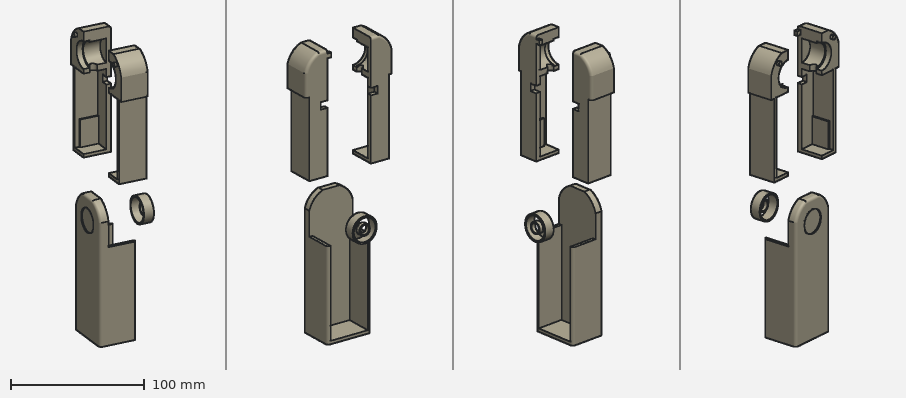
import cadquery as cq

sleeve_width = 40.0
cut_plane = sleeve_width / 2
crown_radius = 20.7
crown_height = 19.3
wall = 3.0
edge_radius = 2.5
overall_width = 80.3
overall_height = 241.2
overall_depth = 50.6

plate_thickness = 7.5
sleeve_depth = 30.9
sleeve_top = 115.8
shoulder_height = 80.8
recess_diameter = 19.8
recess_depth = 1.0
rib_height = 0.5
rib_width = 0.7
rib_length = 6.0
rib_x = -5.0
rib_y = 16.0
sleeve_axis_z = sleeve_top - crown_height

head_width = (overall_width - sleeve_width) / 2
head_height = 34.2
body_width = 16.6
body_height = 68.5
back_wall = 4.0
housing_axis_z = overall_height - crown_height
head_bottom = overall_height - head_height
housing_bottom = head_bottom - body_height
bore_diameter = 19.8
counterbore_diameter = 22.5
counterbore_depth = 5.0
wire_hole_diameter = 6.0
wire_hole_y = 16.0
notch_size = 6.0
notch_top = head_bottom - 6.8
pad_thickness = 1.5
pad_height = 22.7
pad_front_gap = 3.5
peg_diameter = 3.5
peg_length = 2.2
peg_x = 11.8
peg_z = 12.5
tab_length = 3.5
tab_height = 3.9
tab_depth = 3.0
tab_top = overall_height - 3.0

ring_length = 8.5
outer_ring_diameter = 22.5
outer_ring_bore = 19.8
inner_ring_diameter = 10.0
inner_ring_bore = 8.0
inner_ring_length = 3.9


def block(x_min, x_max, y_min, y_max, z_min, z_max):
    """Box given by its limits."""
    size = (x_max - x_min, y_max - y_min, z_max - z_min)
    return cq.Workplane("XY").box(*size, centered=False).translate((x_min, y_min, z_min))


def cylinder_y(x, z, diameter, y_min, y_max):
    """Cylinder along Y."""
    return (
        cq.Workplane("XZ", origin=(x, y_min, z))
        .circle(diameter / 2)
        .extrude(y_min - y_max)
    )


def crowned_block(half_width, axis_z, z_min, y_min, y_max, rounded_face):
    """Upright slab about X = 0 with crowned top corners and one face rounded along its outline."""
    top = axis_z + crown_height
    slab = block(-half_width, half_width, y_min, y_max, z_min, top)
    slab = slab.faces(rounded_face).edges("not <Z").fillet(edge_radius)
    crown = cylinder_y(0, axis_z, 2 * crown_radius, y_min, y_max)
    crown = crown.faces(rounded_face).edges().fillet(edge_radius)
    below_axis = block(-crown_radius, crown_radius, y_min, y_max, z_min, axis_z)
    return slab.intersect(crown.union(below_axis))


def make_sleeve():
    """Front plate with a round recess, two side walls and a floor; open at the back."""
    plate = crowned_block(cut_plane, sleeve_axis_z, rib_height, 0, plate_thickness, "<Y")
    plate = plate.cut(cylinder_y(0, sleeve_axis_z, recess_diameter, 0, recess_depth))
    channel = block(-cut_plane, cut_plane, plate_thickness, sleeve_depth, rib_height, shoulder_height)
    channel = channel.edges("|Z and >Y").fillet(edge_radius)
    channel = channel.cut(
        block(
            wall - cut_plane,
            cut_plane - wall,
            plate_thickness,
            sleeve_depth,
            rib_height + wall,
            shoulder_height,
        )
    )
    rib = block(
        rib_x - rib_width / 2,
        rib_x + rib_width / 2,
        rib_y - rib_length / 2,
        rib_y + rib_length / 2,
        0,
        rib_height,
    )
    return plate.union(channel).union(rib)


def make_plain_half():
    """Housing half to the right of a split face at X = 0, without the locating tab."""
    front = plate_thickness
    back = sleeve_depth
    inner_back = back - back_wall

    head = crowned_block(head_width, housing_axis_z, head_bottom, front, back, ">Y")
    head = head.cut(cylinder_y(0, housing_axis_z, bore_diameter, front, inner_back))
    head = head.cut(
        cylinder_y(0, housing_axis_z, counterbore_diameter, front, front + counterbore_depth)
    )

    body = block(-body_width, body_width, front, back, housing_bottom, head_bottom)
    cavity_side = body_width - wall
    floor = housing_bottom + wall
    body = body.cut(block(-cavity_side, cavity_side, front, inner_back, floor, head_bottom))
    pad = block(
        cavity_side - pad_thickness,
        cavity_side,
        front + pad_front_gap,
        inner_back,
        floor,
        floor + pad_height,
    )

    wire_hole = (
        cq.Workplane("XY", origin=(0, wire_hole_y, head_bottom))
        .circle(wire_hole_diameter / 2)
        .extrude(housing_axis_z - head_bottom)
    )
    notch = block(-notch_size, notch_size, inner_back, back, notch_top - notch_size, notch_top)
    peg = cylinder_y(peg_x, housing_axis_z + peg_z, peg_diameter, front - peg_length, front)

    half = head.union(body).union(pad).cut(wire_hole).cut(notch).union(peg)
    right_side = block(0, head_width, 0, back, housing_bottom, overall_height)
    return half.intersect(right_side)


def make_right_half():
    """Housing half at +X, with the locating tab on its split face."""
    tab = block(-tab_length, 0, sleeve_depth - tab_depth, sleeve_depth, tab_top - tab_height, tab_top)
    return make_plain_half().union(tab).translate((cut_plane, 0, 0))


def make_left_half():
    """Housing half at -X."""
    return make_plain_half().mirror("YZ").translate((-cut_plane, 0, 0))


def make_ring(diameter, bore, y_min, y_max):
    """Plain ring on the sleeve's recess axis."""
    ring = cylinder_y(0, sleeve_axis_z, diameter, y_min, y_max)
    return ring.cut(cylinder_y(0, sleeve_axis_z, bore, y_min, y_max))


sleeve = make_sleeve()
right_half = make_right_half()
left_half = make_left_half()
outer_ring = make_ring(outer_ring_diameter, outer_ring_bore, overall_depth - ring_length, overall_depth)
inner_ring = make_ring(
    inner_ring_diameter, inner_ring_bore, overall_depth - inner_ring_length, overall_depth
)

result = cq.Compound.makeCompound(
    [
        sleeve.val(),
        left_half.val(),
        right_half.val(),
        outer_ring.val(),
        inner_ring.val(),
    ]
)